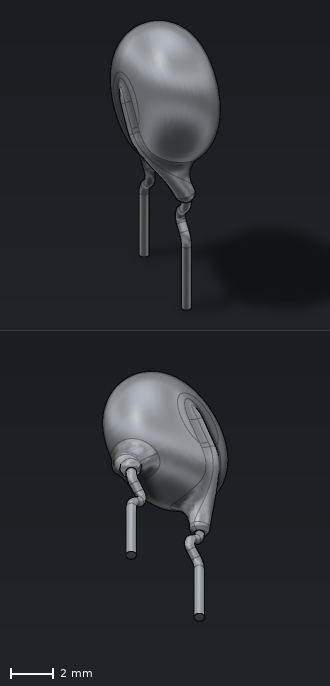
import cadquery as cq
import math

BODY_RADIUS = 3.5
BODY_THICKNESS = 4.0

LEAD_PITCH = 5.0
WIRE_DIAMETER = 0.5
LEAD_BOTTOM_Z = -10.5
KINK_TOP_Z = -4.5
KINK_ANGLE = 45.0
OUTER_BEND_RADIUS = 0.8
INNER_BEND_RADIUS = 0.5
KINK_STRAIGHT = 0.47
WIRE_OVERLAP = 0.5

COAT_RADIUS = 0.5
RIDGE_HEIGHT = 0.25
RIDGE_ANGLE = 52.0
RIDGE_LENGTH = 1.5
TIP_BEND_RADIUS = 1.5
RIDGE_PULL = 0.9
LEAD_PULL = 1.1
COAT_END_Z = -4.48
COAT_END_FILLET = 0.4
BLEND_RADIUS = 0.95
TOUCH_TOLERANCE = 1e-3

RIM_RADIUS = BODY_THICKNESS / 2
FLAT_RADIUS = BODY_RADIUS - RIM_RADIUS
LEAD_X = LEAD_PITCH / 2
RIDGE_AXIS_Y = -(BODY_THICKNESS / 2 + RIDGE_HEIGHT - COAT_RADIUS)


def make_body():
    """Disc with a fully rounded rim and a flat round spot on each face."""
    half = BODY_THICKNESS / 2
    profile = (
        cq.Workplane("YZ")
        .moveTo(-half, 0)
        .lineTo(-half, FLAT_RADIUS)
        .threePointArc((0, BODY_RADIUS), (half, FLAT_RADIUS))
        .lineTo(half, 0)
        .close()
    )
    return profile.revolve(360, (0, 0), (1, 0))


def make_coating():
    """Round coating that follows the wire over the -Y face and down to the +X lead."""
    slope = math.radians(RIDGE_ANGLE)
    outward = cq.Vector(math.cos(slope), 0, -math.sin(slope))
    inward = cq.Vector(0, 1, 0)
    up = cq.Vector(0, 0, 1)

    ridge_start = cq.Vector(0, RIDGE_AXIS_Y, 0)
    ridge_end = ridge_start + outward * RIDGE_LENGTH
    coat_end = cq.Vector(LEAD_X, 0, COAT_END_Z)

    bend_centre = ridge_start + inward * TIP_BEND_RADIUS
    tip = bend_centre - outward * TIP_BEND_RADIUS
    bend_middle = bend_centre - (outward + inward).normalized() * TIP_BEND_RADIUS

    path = cq.Wire.assembleEdges([
        cq.Edge.makeThreePointArc(tip, bend_middle, ridge_start),
        cq.Edge.makeLine(ridge_start, ridge_end),
        cq.Edge.makeBezier([
            ridge_end,
            ridge_end + outward * RIDGE_PULL,
            coat_end + up * LEAD_PULL,
            coat_end,
        ]),
    ])
    section = cq.Workplane(cq.Plane(tip, outward, inward * -1)).circle(COAT_RADIUS)
    return section.sweep(cq.Workplane(path))


def blend_edges(joined, body, coating):
    """Edges where the coating surface meets the body surface."""
    skins = [body.val().Shells()[0], coating.val().Shells()[0]]

    def lies_on_both(edge):
        middle = cq.Vertex.makeVertex(*edge.positionAt(0.5).toTuple())
        return all(middle.distance(skin) < TOUCH_TOLERANCE for skin in skins)

    return [edge for edge in joined.edges().vals() if lies_on_both(edge)]


def make_coated_body():
    """Body with one coated wire blended into it and the coating end rounded."""
    body = make_body()
    coating = make_coating()
    joined = body.union(coating)
    blended = joined.newObject(blend_edges(joined, body, coating)).fillet(BLEND_RADIUS)
    return blended.faces("<Z").edges().fillet(COAT_END_FILLET)


def make_lead():
    """Round wire of the +X lead: an inward kink, then a straight leg."""
    turn = math.radians(KINK_ANGLE)
    bend_in = OUTER_BEND_RADIUS * (1 - math.cos(turn))
    bend_down = OUTER_BEND_RADIUS * math.sin(turn)
    run_in = KINK_STRAIGHT * math.sin(turn)
    run_down = KINK_STRAIGHT * math.cos(turn)
    apex_in = INNER_BEND_RADIUS * (1 - math.cos(turn))
    apex_down = INNER_BEND_RADIUS * math.sin(turn)

    bend_x = LEAD_X - bend_in
    run_x = bend_x - run_in
    apex_z = KINK_TOP_Z - bend_down - run_down - apex_down
    kink_bottom_z = 2 * apex_z - KINK_TOP_Z
    wire_top_z = KINK_TOP_Z + WIRE_OVERLAP
    path = (
        cq.Workplane("XZ")
        .moveTo(LEAD_X, wire_top_z)
        .lineTo(LEAD_X, KINK_TOP_Z)
        .tangentArcPoint((bend_x, KINK_TOP_Z - bend_down), relative=False)
        .lineTo(run_x, apex_z + apex_down)
        .threePointArc((run_x - apex_in, apex_z), (run_x, apex_z - apex_down))
        .lineTo(bend_x, kink_bottom_z + bend_down)
        .tangentArcPoint((LEAD_X, kink_bottom_z), relative=False)
        .lineTo(LEAD_X, LEAD_BOTTOM_Z)
    )
    section = cq.Workplane("XY", origin=(LEAD_X, 0, wire_top_z)).circle(WIRE_DIAMETER / 2)
    return section.sweep(path)


one_sided = make_coated_body().union(make_lead())
result = one_sided.union(one_sided.rotate((0, 0, 0), (0, 0, 1), 180))